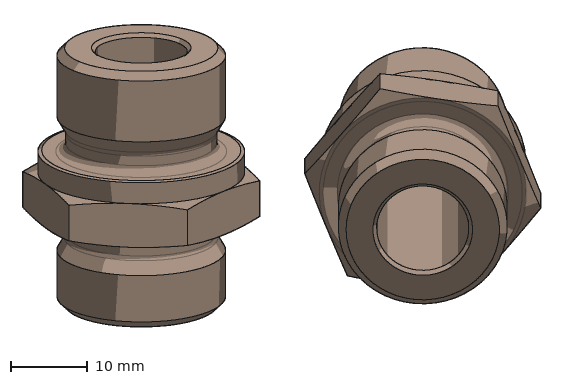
import cadquery as cq
import math

total_height = 35.0
across_flats = 27.0
thread_radius = 22.0 / 2
undercut_radius = 19.7 / 2
bore_radius = 12.0 / 2

lower_end_length = 12.0
hex_height = 6.0
upper_end_length = 14.0
hex_bottom = lower_end_length
hex_top = hex_bottom + hex_height
collar_top = total_height - upper_end_length

end_chamfer = 1.0
bore_chamfer = 0.5
undercut_length = 4.65
undercut_cone_angle = math.radians(30)
undercut_fillet = 1.2
seat_dish_angle = math.radians(5)
rim_inner_radius = 13.0
rim_chamfer_height = 0.15
hex_chamfer_angle = math.radians(15)
bevel_overrun = 0.35

flat_radius = across_flats / 2
corner_radius = flat_radius / math.cos(math.pi / 6)


def threaded_end(length):
    """Solid stub with its tip at Z = 0 and its dished seat rim at Z = length."""
    cone_top = length - undercut_length
    blend_center_r = undercut_radius + undercut_fillet
    blend_r = blend_center_r - undercut_fillet * math.cos(undercut_cone_angle)
    blend_z = cone_top + (thread_radius - blend_r) / math.tan(undercut_cone_angle)
    neck_start = blend_z + undercut_fillet * math.sin(undercut_cone_angle)
    blend_mid_r = blend_center_r - undercut_fillet * math.cos(undercut_cone_angle / 2)
    blend_mid_z = neck_start - undercut_fillet * math.sin(undercut_cone_angle / 2)

    seat_r = blend_center_r + undercut_fillet * math.sin(seat_dish_angle)
    seat_z = length + (rim_inner_radius - seat_r) * math.tan(seat_dish_angle)
    neck_end = seat_z - undercut_fillet * math.cos(seat_dish_angle)
    seat_mid_angle = (math.pi / 2 - seat_dish_angle) / 2
    seat_mid_r = blend_center_r - undercut_fillet * math.cos(seat_mid_angle)
    seat_mid_z = neck_end + undercut_fillet * math.sin(seat_mid_angle)

    return (
        cq.Workplane("XZ")
        .lineTo(thread_radius - end_chamfer, 0)
        .lineTo(thread_radius, end_chamfer)
        .lineTo(thread_radius, cone_top)
        .lineTo(blend_r, blend_z)
        .threePointArc((blend_mid_r, blend_mid_z), (undercut_radius, neck_start))
        .lineTo(undercut_radius, neck_end)
        .threePointArc((seat_mid_r, seat_mid_z), (seat_r, seat_z))
        .lineTo(rim_inner_radius, length)
        .lineTo(rim_inner_radius, total_height / 2)
        .lineTo(0, total_height / 2)
        .close()
        .revolve(360, (0, 0, 0), (0, 1, 0))
    )


def hexagon():
    """Hexagon with corners on the Y axis, its corners bevelled top and bottom."""
    prism = (
        cq.Workplane("XY")
        .workplane(offset=hex_bottom)
        .polygon(6, 2 * corner_radius)
        .extrude(hex_height)
        .rotate((0, 0, 0), (0, 0, 1), 30)
    )
    bevel_radius = corner_radius + bevel_overrun
    bevel_drop = (bevel_radius - flat_radius) * math.tan(hex_chamfer_angle)
    envelope = (
        cq.Workplane("XZ")
        .moveTo(0, hex_bottom)
        .lineTo(flat_radius, hex_bottom)
        .lineTo(bevel_radius, hex_bottom + bevel_drop)
        .lineTo(bevel_radius, hex_top - bevel_drop)
        .lineTo(flat_radius, hex_top)
        .lineTo(0, hex_top)
        .close()
        .revolve(360, (0, 0, 0), (0, 1, 0))
    )
    return prism.intersect(envelope)


def collar():
    """Round collar above the hexagon with a bevelled upper rim."""
    return (
        cq.Workplane("XZ")
        .moveTo(0, hex_bottom + hex_height / 2)
        .lineTo(flat_radius, hex_bottom + hex_height / 2)
        .lineTo(flat_radius, collar_top - rim_chamfer_height)
        .lineTo(rim_inner_radius, collar_top)
        .lineTo(0, collar_top)
        .close()
        .revolve(360, (0, 0, 0), (0, 1, 0))
    )


def seat_space(length):
    """Cylinder with a shallow cone tip that clears a dished seat for a threaded end."""
    depth = length + rim_inner_radius * math.tan(seat_dish_angle)
    return (
        cq.Workplane("XZ")
        .lineTo(rim_inner_radius, 0)
        .lineTo(rim_inner_radius, length)
        .lineTo(0, depth)
        .close()
        .revolve(360, (0, 0, 0), (0, 1, 0))
    )


def turn_over(shape):
    """Flip a shape end for end so that its tip lies at the top of the part."""
    middle = total_height / 2
    return shape.rotate((0, 0, middle), (1, 0, middle), 180)


def bore():
    """Through bore, chamfered at both mouths."""
    mouth_radius = bore_radius + bore_chamfer
    return (
        cq.Workplane("XZ")
        .lineTo(mouth_radius, 0)
        .lineTo(bore_radius, bore_chamfer)
        .lineTo(bore_radius, total_height - bore_chamfer)
        .lineTo(mouth_radius, total_height)
        .lineTo(0, total_height)
        .close()
        .revolve(360, (0, 0, 0), (0, 1, 0))
    )


body = hexagon().union(collar())
body = body.cut(seat_space(lower_end_length))
body = body.cut(turn_over(seat_space(upper_end_length)))
body = body.union(threaded_end(lower_end_length))
body = body.union(turn_over(threaded_end(upper_end_length)))
result = body.cut(bore())